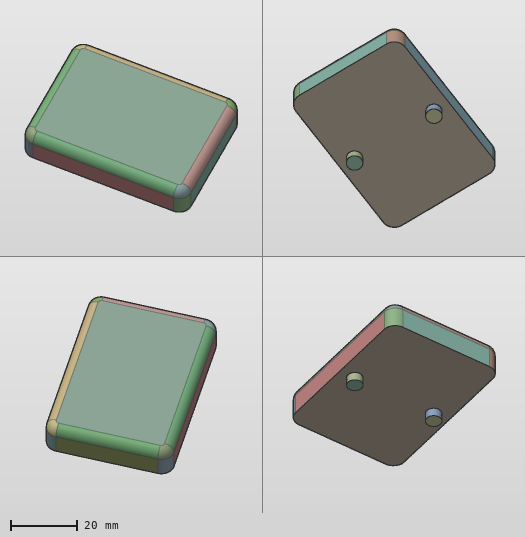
import cadquery as cq

length = 55.0
width = 40.0
total_height = 13.0
block_height = 10.0
corner_radius = 4.0
top_edge_radius = 3.0

peg_diameter = 5.0
peg_spacing = 29.05
peg_length = total_height - block_height


def make_block():
    """Block resting on Z = 0, with rounded corners and a rounded top rim."""
    block = cq.Workplane("XY").box(length, width, block_height, centered=(True, True, False))
    block = block.edges("|Z").fillet(corner_radius)
    return block.faces(">Z").edges().fillet(top_edge_radius)


def add_pegs(block):
    """Two round pegs hanging from the underside, on the Y centre line."""
    peg_centers = [(0, side * peg_spacing / 2) for side in (-1, 1)]
    pegs = cq.Workplane("XY").pushPoints(peg_centers).circle(peg_diameter / 2).extrude(-peg_length)
    return block.union(pegs)


result = add_pegs(make_block())